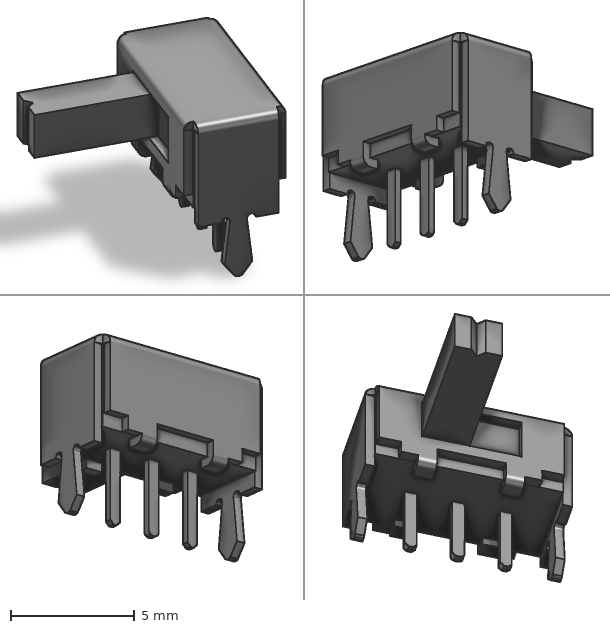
import cadquery as cq
import math


length = 8.71
depth = 4.41
height = 4.0
sheet = 0.395
corner_gap = 0.07
end_wall_drop = 0.7
flap_notch = 0.6
tab_inner = 1.45
tab_outer = 2.96
fold_width = 0.8
fold_lip = 0.395

slot_length = 4.19
slot_height = 2.11
slot_top_margin = 0.7
stem_size = 1.99
stem_side_gap = 0.03
stem_reach = 4.99
groove_depth = 0.3

leg_bottom = -3.3
relief_radius = 0.2
relief_offset = 0.56
neck_drop = 0.06
leg_half_width = 0.6
tip_half_width = 0.17
tip_rise = 0.06
barb_height = 0.61
terminal_pitch = 2.0
terminal_width = 0.5
mid_terminal_width = 0.53
terminal_thickness = 0.3
terminal_chamfer = 0.16
mid_terminal_radius = 0.235

core_length = length - 2 * sheet
core_depth = depth - 2 * sheet
core_height = height - sheet
flap_half_length = core_length / 2 - corner_gap
end_half_depth = core_depth / 2 - corner_gap
slot_center_z = height - slot_top_margin - slot_height / 2
stem_center_x = -slot_length / 2 + stem_side_gap + stem_size / 2
front_tip_y = -depth / 2 - stem_reach


def block(x_range, y_range, z_range):
    """Axis-aligned box between the given limits."""
    (x0, x1), (y0, y1), (z0, z1) = x_range, y_range, z_range
    return cq.Workplane("XY").box(x1 - x0, y1 - y0, z1 - z0, centered=False).translate((x0, y0, z0))


def top_bend(span, reach):
    """Quarter-round bend on the -Y side of a top plate, narrowing outwards by the corner gap."""
    inner = reach - sheet
    bend = (
        cq.Workplane("YZ")
        .moveTo(-inner, core_height)
        .lineTo(-inner, height)
        .radiusArc((-reach, core_height), -sheet)
        .close()
        .extrude(span / 2, both=True)
    )
    plan = (
        cq.Workplane("XY")
        .polyline([
            (-span / 2, -inner),
            (span / 2, -inner),
            (span / 2 - corner_gap, -reach),
            (-span / 2 + corner_gap, -reach),
        ])
        .close()
        .extrude(height)
    )
    return bend.intersect(plan)


def long_wall():
    """Front wall with its top bend, two lower tabs and the folds that hold the core."""
    outer_y = -depth / 2
    inner_y = -core_depth / 2
    wall = block((-flap_half_length, flap_half_length), (outer_y, inner_y), (flap_notch, core_height))
    wall = wall.union(top_bend(core_length, depth / 2))
    for side in (-1, 1):
        tab_limits = sorted((side * tab_inner, side * tab_outer))
        wall = wall.union(block(tab_limits, (outer_y, inner_y), (0, flap_notch)))
        fold = (
            cq.Workplane("YZ")
            .moveTo(outer_y, 0)
            .radiusArc((inner_y, -sheet), -sheet)
            .lineTo(inner_y + fold_lip, -sheet)
            .lineTo(inner_y + fold_lip, 0)
            .close()
            .extrude(side * fold_width)
            .translate((side * tab_inner, 0, 0))
        )
        wall = wall.union(fold)
    return wall


def end_wall():
    """Wall on the -X end with its top bend and the barbed mounting leg."""
    bottom = -end_wall_drop
    barb_z = leg_bottom + barb_height
    tip_z = leg_bottom + tip_rise
    neck_z = bottom - neck_drop
    neck_half_width = relief_offset - math.sqrt(relief_radius ** 2 - neck_drop ** 2)

    profile = (
        cq.Workplane("YZ")
        .moveTo(end_half_depth, core_height)
        .lineTo(end_half_depth, bottom)
        .lineTo(relief_offset + relief_radius, bottom)
        .threePointArc((relief_offset, bottom + relief_radius), (neck_half_width, neck_z))
        .lineTo(leg_half_width, barb_z)
        .lineTo(tip_half_width, tip_z)
        .threePointArc((0, leg_bottom), (-tip_half_width, tip_z))
        .lineTo(-leg_half_width, barb_z)
        .lineTo(-neck_half_width, neck_z)
        .threePointArc((-relief_offset, bottom + relief_radius), (-relief_offset - relief_radius, bottom))
        .lineTo(-end_half_depth, bottom)
        .lineTo(-end_half_depth, core_height)
        .close()
        .extrude(sheet)
        .translate((-length / 2, 0, 0))
    )
    bend = top_bend(core_depth, length / 2).rotate((0, 0, 0), (0, 0, 1), -90)
    return profile.union(bend)


def make_shell():
    top_plate = block(
        (-core_length / 2, core_length / 2), (-core_depth / 2, core_depth / 2), (core_height, height)
    )
    slot = cq.Workplane("XY").box(slot_length, 2 * sheet, slot_height)
    front = long_wall().cut(slot.translate((0, -depth / 2, slot_center_z)))
    rear = long_wall().mirror("XZ")
    left = end_wall()
    right = left.mirror("YZ")
    return top_plate.union(front).union(rear).union(left).union(right)


def stem():
    """Square slider stem with a V groove across its tip."""
    return (
        cq.Workplane("XY")
        .moveTo(-stem_size / 2, -core_depth / 2)
        .lineTo(-stem_size / 2, front_tip_y)
        .lineTo(-groove_depth, front_tip_y)
        .lineTo(0, front_tip_y + groove_depth)
        .lineTo(groove_depth, front_tip_y)
        .lineTo(stem_size / 2, front_tip_y)
        .lineTo(stem_size / 2, -core_depth / 2)
        .close()
        .extrude(stem_size / 2, both=True)
        .translate((stem_center_x, 0, slot_center_z))
    )


def terminal(width):
    """Flat terminal hanging from the core underside, square at its tip."""
    return cq.Workplane("XY").box(
        width, terminal_thickness, -leg_bottom, centered=(True, True, False)
    ).translate((0, 0, leg_bottom))


def make_core():
    core = block(
        (-core_length / 2, core_length / 2), (-core_depth / 2, core_depth / 2), (0, core_height)
    ).union(stem())
    outer_terminal = terminal(terminal_width).faces("<Z").edges("|Y").chamfer(terminal_chamfer)
    for side in (-1, 1):
        core = core.union(outer_terminal.translate((side * terminal_pitch, 0, 0)))
    mid_terminal = terminal(mid_terminal_width).faces("<Z").edges("|Y").fillet(mid_terminal_radius)
    return core.union(mid_terminal)


shell = make_shell()
core = make_core()

result = cq.Compound.makeCompound([*shell.solids().vals(), *core.solids().vals()])